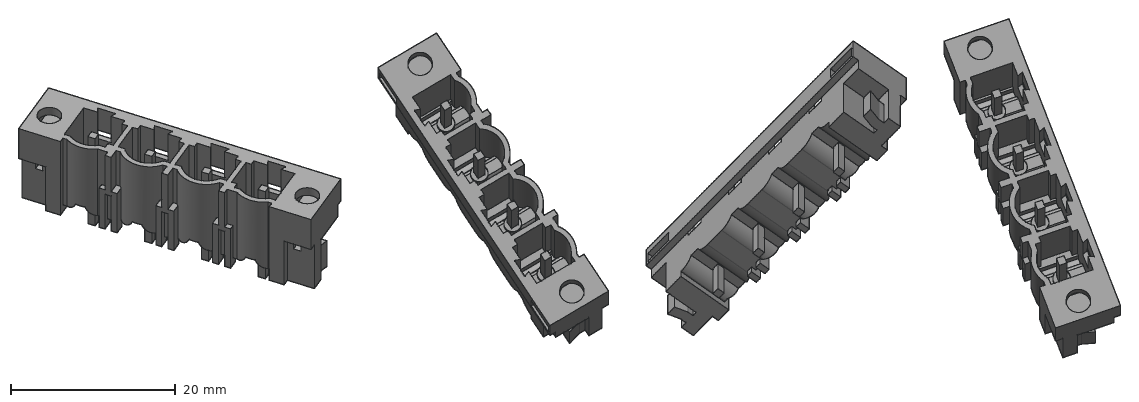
import cadquery as cq
import math

length = 39.35
depth = 8.4
height = 11.8
x_end = length / 2
y_front = -depth / 2
y_rear = depth / 2
overhang = 0.83
overhang_height = 3.55
y_back = y_rear - overhang

pitch = 7.65
pin_count = 4
pin_size = 1.0
pin_y = -0.4
pin_bottom = -3.15
pin_top = 10.8
pin_xs = [(i - (pin_count - 1) / 2) * pitch for i in range(pin_count)]
rib_xs = [(i - (pin_count - 2) / 2) * pitch for i in range(pin_count - 1)]

end_block_inner_x = 14.05
wall = 0.65
inner_wall_y = -2.8
outer_wall_y = -3.5
chamber_radius = 3.05
barrel_radius = chamber_radius + wall

chamber_half_width = 2.75
chamber_rear_y = 2.68
chamber_side_y = (-2.05, 1.95)
partition = 0.65
end_chamber_front_y = -2.8
dovetail_mouth = 1.85
dovetail_width = 2.4
dovetail_floor = 7.6

lobe_radius = 1.95
floor_thickness = 0.83
lobe_x = 2.48
lobe_z = 3.05
underside_z = lobe_z - lobe_radius
notch_half_width = 0.63
trough_radius = lobe_radius - floor_thickness
crest_radius = 1.1
crest_half_width = 0.7
collar_diameter = 2.15
collar_rise = 0.4

rib_width = 0.83
foot_width = 2.45
foot_top = 6.3
foot_slot_top = 5.6

screw_x = 17.35
screw_diameter = 3.0
screw_hole_depth = 1.2
nut_slot_width = 3.95
nut_slot_bottom = 8.8
nut_slot_front_y = pin_y - nut_slot_width / 2
corner_relief_x = 16.05
corner_relief_y = -3.25
corner_relief_top = 7.0
side_recess_x = 16.88
side_recess_front_y = -1.38
side_recess_top = 6.4
window_size = 1.0
window_x = side_recess_x + window_size / 2
window_z = 5.82

arm_top = 4.15
arm_thickness = 1.35
arm_root_x = 18.8
arm_tip_x = 19.28
arm_bend_y = -0.55
arm_tip_y = 1.15


def box(x_range, y_range, z_range):
    """Axis-aligned block between pairs of limits, given in either order."""
    (x0, x1), (y0, y1), (z0, z1) = (sorted(r) for r in (x_range, y_range, z_range))
    block = cq.Workplane("XY").box(x1 - x0, y1 - y0, z1 - z0, centered=False)
    return block.translate((x0, y0, z0))


def cylinder(x, y, radius, z_range):
    """Upright cylinder between two heights."""
    z0, z1 = z_range
    return cq.Workplane("XY", origin=(x, y, z0)).circle(radius).extrude(z1 - z0)


def housing_shell():
    """Solid outline: body, end walls, barrels and the rear lip."""
    full = (0, height)
    shell = box((-x_end, x_end), (inner_wall_y, y_rear), full)
    for side in (-1, 1):
        shell = shell.union(box((side * end_block_inner_x, side * x_end), (y_front, y_rear), full))
        shell = shell.union(box((side * rib_xs[-1], side * end_block_inner_x), (outer_wall_y, 0), full))
    for x in pin_xs:
        shell = shell.union(cylinder(x, pin_y, barrel_radius, full))
    return shell.cut(box((-x_end, x_end), (y_back, y_rear), (0, height - overhang_height)))


def underside_notch(x):
    """Gap between the two rounded lobes beneath one chamber, right through Y."""
    notch_top = lobe_z - math.sqrt(lobe_radius**2 - (lobe_x - notch_half_width) ** 2)
    mid = lobe_radius * math.sqrt(0.5)
    return (
        cq.Workplane("XZ", origin=(x, y_rear, 0))
        .moveTo(-lobe_x, underside_z)
        .threePointArc((mid - lobe_x, lobe_z - mid), (-notch_half_width, notch_top))
        .lineTo(notch_half_width, notch_top)
        .threePointArc((lobe_x - mid, lobe_z - mid), (lobe_x, underside_z))
        .close()
        .extrude(depth)
    )


def chamber_floor(x):
    """Floor under one chamber: flat crest, S-shaped flanks, side shelves and pin collar."""
    trough_bottom = lobe_z - trough_radius
    trough_mid = trough_radius * math.sqrt(0.5)
    flank_x = lobe_x - trough_radius
    crest_center = flank_x - crest_radius
    crest_z = lobe_z + math.sqrt(crest_radius**2 - (crest_half_width - crest_center) ** 2)
    crest_mid = crest_radius * math.sqrt(0.75)
    shelf_x = pitch / 2
    floor = (
        cq.Workplane("XZ", origin=(x, y_rear, 0))
        .moveTo(-shelf_x, 0)
        .lineTo(-shelf_x, lobe_z)
        .lineTo(-lobe_x, lobe_z)
        .lineTo(-lobe_x, trough_bottom)
        .threePointArc((trough_mid - lobe_x, lobe_z - trough_mid), (-flank_x, lobe_z))
        .threePointArc((-crest_center - crest_mid, lobe_z + crest_radius / 2), (-crest_half_width, crest_z))
        .lineTo(crest_half_width, crest_z)
        .threePointArc((crest_center + crest_mid, lobe_z + crest_radius / 2), (flank_x, lobe_z))
        .threePointArc((lobe_x - trough_mid, lobe_z - trough_mid), (lobe_x, trough_bottom))
        .lineTo(lobe_x, lobe_z)
        .lineTo(shelf_x, lobe_z)
        .lineTo(shelf_x, 0)
        .close()
        .extrude(depth)
    )
    return floor.union(cylinder(x, pin_y, collar_diameter / 2, (0, crest_z + collar_rise)))


def chamber(x):
    """Open space of one chamber, from its floor to the top."""
    full = (0, height)
    bay_half_width = (pitch - partition) / 2
    is_end = abs(x) > pitch
    front_y = end_chamber_front_y if is_end else chamber_side_y[0]
    space = box((x - chamber_half_width, x + chamber_half_width), (front_y, chamber_rear_y), full)
    bulge = cylinder(x, pin_y, chamber_radius, full)
    bulge = bulge.intersect(box((x - pitch, x + pitch), (y_front, front_y), full))
    space = space.union(bulge)
    for side in (-1, 1):
        if abs(x + side * pitch) < pin_xs[-1] + pitch / 2:
            space = space.union(box((x, x + side * bay_half_width), chamber_side_y, full))
    return space.cut(chamber_floor(x))


def dovetail(x):
    """Coding groove in the rear wall, wider at the back than at the chamber."""
    return (
        cq.Workplane("XY", origin=(x, 0, dovetail_floor))
        .polyline([
            (-dovetail_mouth / 2, chamber_rear_y),
            (dovetail_mouth / 2, chamber_rear_y),
            (dovetail_width / 2, y_back),
            (-dovetail_width / 2, y_back),
        ])
        .close()
        .extrude(height - dovetail_floor)
    )


def rib(x):
    """Front rib with a wider foot that is slotted into two legs."""
    y_range = (y_front, inner_wall_y)
    half = rib_width / 2
    web = box((x - half, x + half), y_range, (underside_z, height))
    foot = box((x - foot_width / 2, x + foot_width / 2), y_range, (0, foot_top))
    slot = box((x - half, x + half), (y_front, outer_wall_y), (0, foot_slot_top))
    leg_gap = box((x - half, x + half), y_range, (0, underside_z))
    return web.union(foot).cut(slot).cut(leg_gap)


def end_cutouts(side):
    """Screw hole, nut slot, corner relief, side recess and window of one end block."""
    x = side * screw_x
    ceiling = height - screw_hole_depth
    half_nut = nut_slot_width / 2
    half_window = window_size / 2
    window_xs = (side * window_x - half_window, side * window_x + half_window)
    outer = side * x_end
    cutouts = cylinder(x, pin_y, screw_diameter / 2, (ceiling, height))
    cutouts = cutouts.union(
        box((x - half_nut, x + half_nut), (nut_slot_front_y, y_rear), (nut_slot_bottom, ceiling))
    )
    cutouts = cutouts.union(
        box((side * corner_relief_x, outer), (y_front, corner_relief_y), (0, corner_relief_top))
    )
    cutouts = cutouts.union(
        box((side * side_recess_x, outer), (side_recess_front_y, y_back), (0, side_recess_top))
    )
    return cutouts.union(
        box(window_xs, (y_front, side_recess_front_y), (window_z - half_window, window_z + half_window))
    )


def latch_arm(side):
    """Upright arm that starts straight and leans outward towards the rear."""
    outline = [
        (arm_root_x, side_recess_front_y),
        (arm_root_x, arm_bend_y),
        (arm_tip_x, arm_tip_y),
        (arm_tip_x - arm_thickness, arm_tip_y),
        (arm_root_x - arm_thickness, arm_bend_y),
        (arm_root_x - arm_thickness, side_recess_front_y),
    ]
    return cq.Workplane("XY").polyline([(side * x, y) for x, y in outline]).close().extrude(arm_top)


def make_pin(x):
    """Square contact pin standing through the chamber floor."""
    half = pin_size / 2
    return box((x - half, x + half), (pin_y - half, pin_y + half), (pin_bottom, pin_top))


def make_housing():
    """Complete housing with holes that fit the pins."""
    body = housing_shell()
    body = body.cut(box((-end_block_inner_x, end_block_inner_x), (y_front, y_rear), (0, underside_z)))
    for x in pin_xs:
        body = body.cut(underside_notch(x)).cut(chamber(x)).cut(dovetail(x)).cut(make_pin(x))
    for x in rib_xs:
        body = body.union(rib(x))
    for side in (-1, 1):
        body = body.cut(end_cutouts(side)).union(latch_arm(side))
    return body


housing = make_housing()
pins = [make_pin(x) for x in pin_xs]
result = cq.Compound.makeCompound([housing.val(), *[pin.val() for pin in pins]])